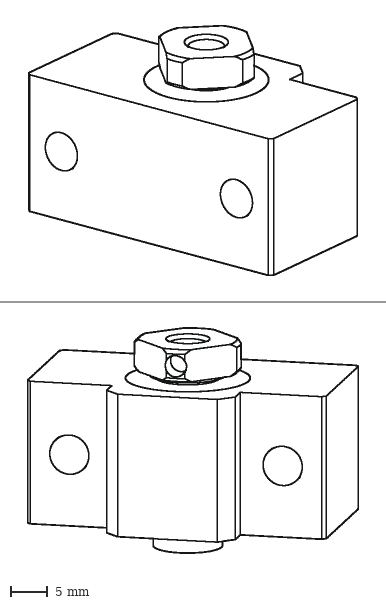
import cadquery as cq

length = 42.0
depth = 20.0
height = 20.0
front_to_axis = 13.0
corner_chamfer = 0.55

tab_width = 18.05
tab_depth = 5.0
tab_chamfer = 2.0

mount_diameter = 5.5
mount_spacing = 30.0

disc_diameter = 17.0
recess_diameter = 17.1
recess_depth = height / 2

shank_diameter = 9.5
shank_projection = 3.5
neck_diameter = 8.5
neck_height = 0.5
flange_diameter = 10.5
flange_height = 0.5
bore_diameter = 4.9
bore_mouth_diameter = 6.0

head_height = 4.5
head_across_flats = 12.0
head_corner_diameter = 14.6
head_chamfer = 0.55
cross_hole_diameter = 3.0
cross_hole_depth = 3.35

front_y = -front_to_axis
rear_y = front_y + depth
recess_floor = height - recess_depth
head_bottom = height + neck_height + flange_height
head_top = head_bottom + head_height


def cylinder(diameter, bottom, top):
    """Solid cylinder on the spindle axis between two heights."""
    return cq.Workplane("XY", origin=(0, 0, bottom)).circle(diameter / 2).extrude(top - bottom)


def make_block():
    """Rectangular block with small chamfers on its four upright edges."""
    return (
        cq.Workplane("XY", origin=(0, front_y + depth / 2, 0))
        .rect(length, depth)
        .extrude(height)
        .edges("|Z")
        .chamfer(corner_chamfer)
    )


def make_tab():
    """Full-height tab with chamfered rear edges."""
    return (
        cq.Workplane("XY", origin=(0, rear_y + tab_depth / 2, 0))
        .rect(tab_width, tab_depth)
        .extrude(height)
        .edges("|Z and >Y")
        .chamfer(tab_chamfer)
    )


def make_mount_holes():
    """Cutters for the two mounting holes, running front to rear."""
    return (
        cq.Workplane("XZ", origin=(0, rear_y, height / 2))
        .pushPoints([(-mount_spacing / 2, 0), (mount_spacing / 2, 0)])
        .circle(mount_diameter / 2)
        .extrude(depth)
    )


def make_housing():
    """Block and tab with mounting holes and a stepped spindle bore."""
    return (
        make_block()
        .union(make_tab())
        .cut(make_mount_holes())
        .cut(cylinder(recess_diameter, recess_floor, height))
        .cut(cylinder(shank_diameter, 0, recess_floor))
    )


def make_head():
    """Square head turned 45 degrees, trimmed by a chamfered cylinder."""
    square = (
        cq.Workplane("XY", origin=(0, 0, head_bottom))
        .rect(head_across_flats, head_across_flats)
        .extrude(head_height)
        .rotate((0, 0, 0), (0, 0, 1), 45)
    )
    envelope = cylinder(head_corner_diameter, head_bottom, head_top).edges().chamfer(head_chamfer)
    return square.intersect(envelope)


def make_cross_hole():
    """Cutter for the blind radial hole in the rear corner of the head."""
    return (
        cq.Workplane("XZ", origin=(0, head_corner_diameter / 2, head_bottom + head_height / 2))
        .circle(cross_hole_diameter / 2)
        .extrude(cross_hole_depth)
    )


def make_spindle():
    """Shank, flush disc, neck, flange and head with a through bore and a blind cross hole."""
    neck_top = height + neck_height
    mouth_chamfer = (bore_mouth_diameter - bore_diameter) / 2
    return (
        cylinder(shank_diameter, -shank_projection, recess_floor)
        .union(cylinder(disc_diameter, recess_floor, height))
        .union(cylinder(neck_diameter, height, neck_top))
        .union(cylinder(flange_diameter, neck_top, head_bottom))
        .union(make_head())
        .cut(cylinder(bore_diameter, -shank_projection, head_top))
        .faces(">Z")
        .edges(cq.selectors.RadiusNthSelector(0))
        .chamfer(mouth_chamfer)
        .cut(make_cross_hole())
    )


housing = make_housing()
spindle = make_spindle()

result = cq.Compound.makeCompound([housing.val(), spindle.val()])